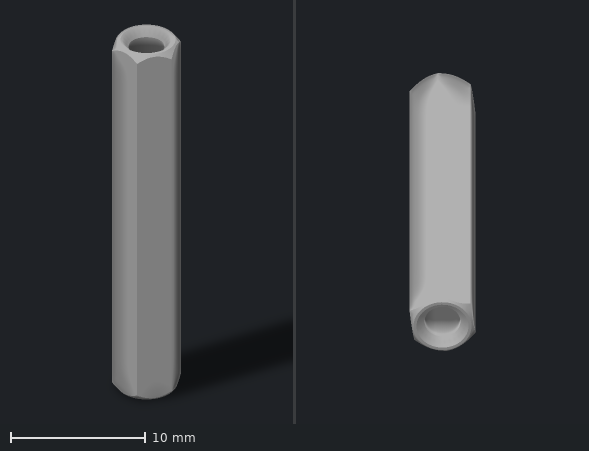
import cadquery as cq
import math

length = 30.0
across_flats = 4.6
bore_diameter = 2.67
countersink_diameter = 3.87
end_face_diameter = 4.32
chamfer_angle = 50.0
countersink_angle = 45.0

across_corners = across_flats / math.cos(math.radians(30))
half_length = length / 2


def hexagonal_bar():
    """Hexagonal bar with two flats facing -X and +X."""
    return (
        cq.Workplane("XY")
        .polygon(6, across_corners)
        .extrude(length)
        .translate((0, 0, -half_length))
        .rotate((0, 0, 0), (0, 0, 1), 30)
    )


def chamfer_envelope():
    """Cylinder around the corners, coned at both ends."""
    depth = (across_corners - end_face_diameter) / 2 * math.tan(math.radians(chamfer_angle))
    end_radius = end_face_diameter / 2
    corner_radius = across_corners / 2
    return (
        cq.Workplane("XZ")
        .moveTo(0, -half_length)
        .lineTo(end_radius, -half_length)
        .lineTo(corner_radius, depth - half_length)
        .lineTo(corner_radius, half_length - depth)
        .lineTo(end_radius, half_length)
        .lineTo(0, half_length)
        .close()
        .revolve(360, (0, 0, 0), (0, 1, 0))
    )


def countersunk_bore():
    """Through bore, widened by a cone at both ends."""
    depth = (countersink_diameter - bore_diameter) / 2 * math.tan(math.radians(countersink_angle))
    bore_radius = bore_diameter / 2
    mouth_radius = countersink_diameter / 2
    return (
        cq.Workplane("XZ")
        .moveTo(0, -half_length)
        .lineTo(mouth_radius, -half_length)
        .lineTo(bore_radius, depth - half_length)
        .lineTo(bore_radius, half_length - depth)
        .lineTo(mouth_radius, half_length)
        .lineTo(0, half_length)
        .close()
        .revolve(360, (0, 0, 0), (0, 1, 0))
    )


result = hexagonal_bar().intersect(chamfer_envelope()).cut(countersunk_bore())